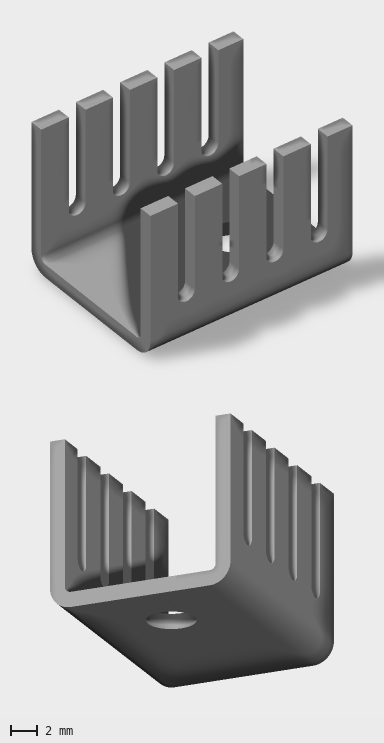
import cadquery as cq

width = 14.88
length = 19.05
height = 13.54
thickness = 1.22
inner_bend_radius = 0.5
outer_bend_radius = inner_bend_radius + thickness

slot_count = 4
slot_width = 1.58
slot_pitch = 4.17
slot_bottom = 4.04
front_fin_width = 2.6

hole_diameter = 3.81
hole_to_back_edge = 5.715


def make_channel():
    """U-shaped bent sheet running along Y."""
    outer = (
        cq.Workplane("XY")
        .box(width, length, height, centered=(True, True, False))
        .edges("|Y and <Z")
        .fillet(outer_bend_radius)
    )
    cavity = (
        cq.Workplane("XY")
        .workplane(offset=thickness)
        .box(width - 2 * thickness, length, height, centered=(True, True, False))
        .edges("|Y and <Z")
        .fillet(inner_bend_radius)
    )
    return outer.cut(cavity)


def make_slot(center_y):
    """Cutter for one round-bottomed slot through both side walls."""
    radius = slot_width / 2
    arc_center_z = slot_bottom + radius
    return (
        cq.Workplane("YZ")
        .moveTo(center_y - radius, height)
        .lineTo(center_y - radius, arc_center_z)
        .threePointArc((center_y, slot_bottom), (center_y + radius, arc_center_z))
        .lineTo(center_y + radius, height)
        .close()
        .extrude(width / 2, both=True)
    )


def make_mounting_hole():
    """Cutter for the round hole through the base."""
    return (
        cq.Workplane("XY")
        .center(0, length / 2 - hole_to_back_edge)
        .circle(hole_diameter / 2)
        .extrude(thickness)
    )


result = make_channel().cut(make_mounting_hole())

first_slot_y = -length / 2 + front_fin_width + slot_width / 2
for index in range(slot_count):
    result = result.cut(make_slot(first_slot_y + index * slot_pitch))